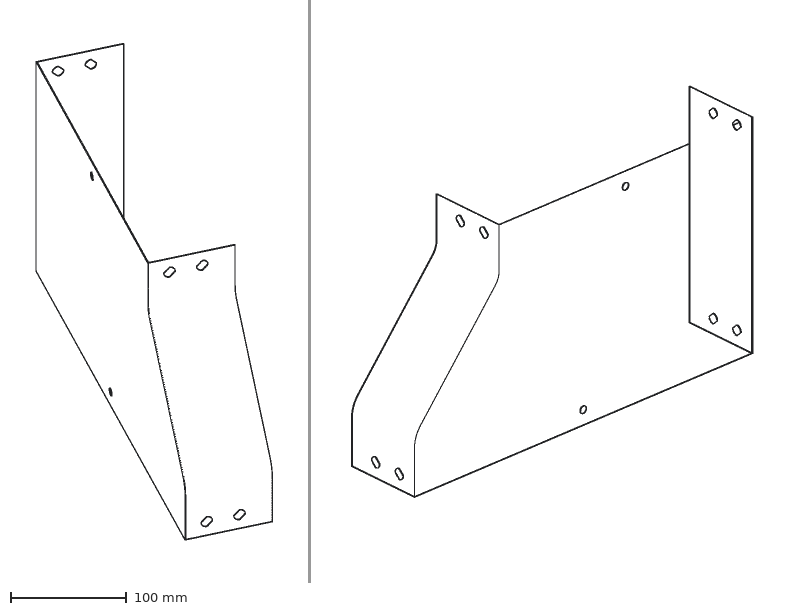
import cadquery as cq
import math

length = 400.0
depth = 80.0
height = 230.0
sheet = 1.0

top_length = length * 3 / 4
slope_angle = math.radians(40)
upper_step = 52.0
inner_radius = 20.0
outer_radius = 30.0

hole_diameter = 7.0
hole_row_spacing = 200.0
flat_hole_diameter = 10.5
flat_spacing = 7.5
flat_tilt = 45
flat_hole_positions = (20.0, 50.0)

upper_corner_z = height - upper_step
lower_corner_z = upper_corner_z - (length - top_length) / math.tan(slope_angle)
edge_inset = (height - hole_row_spacing) / 2
hole_heights = (edge_inset, height - edge_inset)


def face_outline():
    """Side profile with the two bends of the stepped end rounded."""
    profile = (
        cq.Workplane("XZ")
        .polyline([
            (0, 0),
            (length, 0),
            (length, lower_corner_z),
            (top_length, upper_corner_z),
            (top_length, height),
            (0, height),
        ])
        .close()
        .extrude(-depth)
    )
    profile = round_bend(profile, length, lower_corner_z, outer_radius)
    return round_bend(profile, top_length, upper_corner_z, inner_radius)


def round_bend(body, x, z, radius):
    """Round the edge along Y that passes through (x, z)."""
    nearest = cq.selectors.NearestToPointSelector((x, depth / 2, z))
    return body.edges(nearest).fillet(radius)


def folded_sheet():
    """Thin walls on the face and both ends, open at the back, top and bottom."""
    block = face_outline()
    open_faces = block.faces(">Y or >Z or <Z")
    return open_faces.shell(-sheet)


def face_holes():
    """One hole centred along each of the top and bottom edges of the face plate."""
    centres = [
        (length / 2, edge_inset),
        (top_length / 2, height - edge_inset),
    ]
    return cq.Workplane("XZ").pushPoints(centres).circle(hole_diameter / 2).extrude(-2 * sheet)


def flange_holes(start_x, tilt):
    """Four double-flat holes cutting half the bracket length in +X from start_x."""
    centres = [(y, z) for y in flat_hole_positions for z in hole_heights]
    plane = cq.Workplane("YZ", origin=(start_x, 0, 0)).pushPoints(centres)
    cylinders = plane.circle(flat_hole_diameter / 2).extrude(length / 2)
    bars = plane.slot2D(2 * flat_hole_diameter, flat_spacing, tilt).extrude(length / 2)
    return cylinders.intersect(bars)


result = (
    folded_sheet()
    .cut(face_holes())
    .cut(flange_holes(0, -flat_tilt))
    .cut(flange_holes(length / 2, flat_tilt))
)